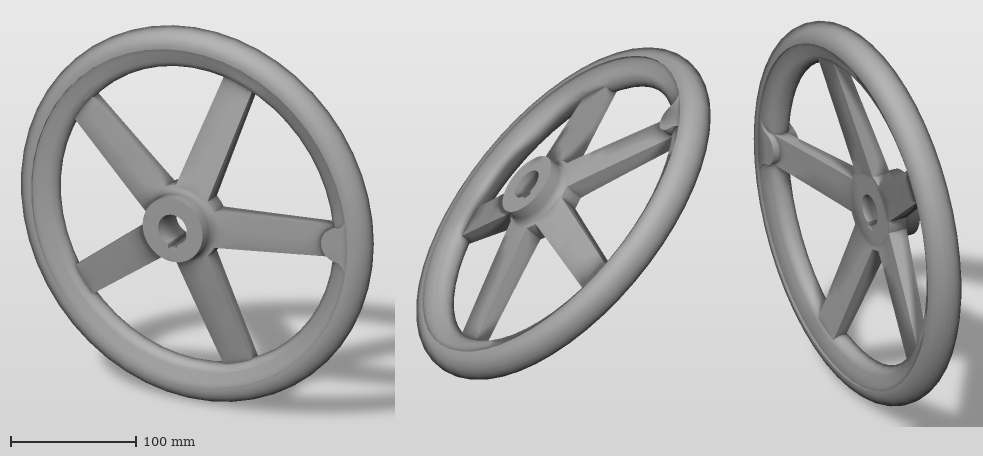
import cadquery as cq
import math


rim_diameter = 315.0
rim_thickness = 28.0
rim_round = rim_thickness / 2
rim_lip = 0.8
rim_crest_radius = rim_diameter / 2 - rim_round
recess_radius = rim_crest_radius - rim_lip
rim_inner_radius = 124.5
inner_round = 8.8
recess_step = 2.0
rim_mid = -rim_round

wheel_depth = 56.0
hub_radius = 27.0
hub_base_radius = 33.0
hub_fillet = 6.0
bore_radius = 13.0
key_width = 8.0
key_reach = 16.3

spoke_count = 5
spoke_root_radius = 30.0
spoke_tip_radius = rim_inner_radius + inner_round
spoke_root_front = 41.3
spoke_root_back = 25.2
spoke_tip_front = 15.7
spoke_tip_back = 5.8
spoke_root_width = 30.0
spoke_tip_width = 26.5
front_slope = (spoke_root_front - spoke_tip_front) / (spoke_tip_radius - spoke_root_radius)

boss_radius = 14.0
boss_x = 132.0
boss_blend = 12.0


def polar(radius, angle):
    """Planar components of a vector with the given length and angle in radians."""
    return (radius * math.cos(angle), radius * math.sin(angle))


def make_rim():
    """Rim with a round outside, a stepped conical recess on both faces and a round inner edge."""
    round_center = rim_inner_radius + inner_round
    run = recess_radius - round_center
    rise = rim_round - recess_step
    slope = math.atan2(rise, run) + math.acos(inner_round / math.hypot(run, rise))
    tangent_x, tangent_y = polar(inner_round, slope)
    profile = (
        cq.Workplane("XY")
        .moveTo(recess_radius, 0)
        .lineTo(rim_crest_radius, 0)
        .threePointArc((rim_diameter / 2, rim_mid), (rim_crest_radius, -rim_thickness))
        .lineTo(recess_radius, -rim_thickness)
        .lineTo(recess_radius, -rim_thickness + recess_step)
        .lineTo(round_center + tangent_x, rim_mid - tangent_y)
        .threePointArc((rim_inner_radius, rim_mid), (round_center + tangent_x, rim_mid + tangent_y))
        .lineTo(recess_radius, -recess_step)
        .close()
    )
    return profile.revolve(360, (0, 0, 0), (0, 1, 0))


def front_depth(radius):
    """Depth of the conical front face of the spokes and hub base at a given radius."""
    return spoke_root_front - front_slope * (radius - spoke_root_radius)


def make_hub_and_spokes():
    """Hub and conical web turned as one body, then trimmed to the hub base and the arms."""
    cone_angle = math.atan(front_slope)
    fillet_radius = hub_radius + hub_fillet
    cone_touch = fillet_radius - hub_fillet * math.sin(cone_angle)
    fillet_depth = front_depth(cone_touch) + hub_fillet * math.cos(cone_angle)
    mid_dx, mid_dy = polar(hub_fillet, (math.pi / 2 - cone_angle) / 2)
    turned = (
        cq.Workplane("XY")
        .moveTo(0, -spoke_root_back)
        .lineTo(spoke_root_radius, -spoke_root_back)
        .lineTo(spoke_tip_radius, -spoke_tip_back)
        .lineTo(spoke_tip_radius, -spoke_tip_front)
        .lineTo(cone_touch, -front_depth(cone_touch))
        .threePointArc((fillet_radius - mid_dx, -fillet_depth + mid_dy), (hub_radius, -fillet_depth))
        .lineTo(hub_radius, -wheel_depth)
        .lineTo(0, -wheel_depth)
        .close()
        .revolve(360, (0, 0, 0), (0, 1, 0))
    )
    arm = (
        cq.Workplane("XZ")
        .polyline([
            (0, -spoke_root_width / 2),
            (spoke_root_radius, -spoke_root_width / 2),
            (spoke_tip_radius, -spoke_tip_width / 2),
            (spoke_tip_radius, spoke_tip_width / 2),
            (spoke_root_radius, spoke_root_width / 2),
            (0, spoke_root_width / 2),
        ])
        .close()
        .extrude(wheel_depth)
    )
    outline = cq.Workplane("XZ").circle(hub_base_radius).extrude(wheel_depth)
    for index in range(spoke_count):
        outline = outline.union(arm.rotate((0, 0, 0), (0, 1, 0), index * 360 / spoke_count))
    return turned.intersect(outline)


def make_boss():
    """Handle boss flush with the recess steps, blended into the recess wall."""
    center_reach = recess_radius - boss_blend
    center_gap = boss_radius + boss_blend
    center_x = (center_reach**2 + boss_x**2 - center_gap**2) / (2 * boss_x)
    center_angle = math.acos(center_x / center_reach)
    center_z = center_reach * math.sin(center_angle)

    boss_angle = math.atan2(center_z, center_x - boss_x)
    touch_dx, touch_z = polar(boss_radius, boss_angle)
    touch_x = boss_x + touch_dx
    wall_x, wall_z = polar(recess_radius, center_angle)
    mid_angle = (boss_angle - math.pi + center_angle) / 2
    mid_dx, mid_dz = polar(boss_blend, mid_angle)
    mid_x = center_x + mid_dx
    mid_z = center_z + mid_dz

    outline = (
        cq.Workplane("XZ", origin=(0, -recess_step, 0))
        .moveTo(wall_x, -wall_z)
        .threePointArc((recess_radius, 0), (wall_x, wall_z))
        .threePointArc((mid_x, mid_z), (touch_x, touch_z))
        .threePointArc((boss_x - boss_radius, 0), (touch_x, -touch_z))
        .threePointArc((mid_x, -mid_z), (wall_x, -wall_z))
        .close()
    )
    return outline.extrude(rim_thickness - 2 * recess_step)


def make_bore():
    """Through bore with a keyway on its -Z side."""
    bore = cq.Workplane("XZ").circle(bore_radius).extrude(wheel_depth)
    keyway = (
        cq.Workplane("XZ")
        .center(0, -key_reach / 2)
        .rect(key_width, key_reach)
        .extrude(wheel_depth)
    )
    return bore.union(keyway)


wheel = make_rim().union(make_hub_and_spokes()).union(make_boss())
result = wheel.cut(make_bore())